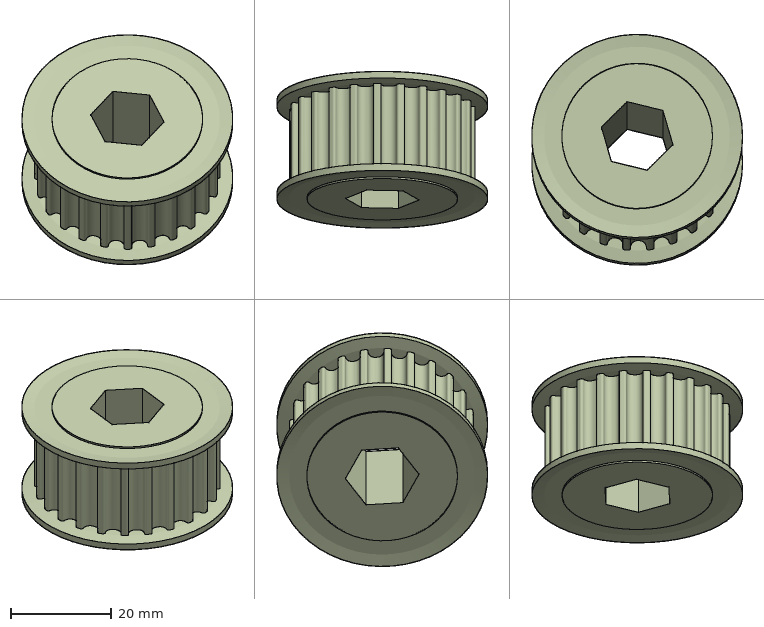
import cadquery as cq
import math

flange_diameter = 42.0
total_height = 20.5

tooth_count = 24
tip_radius = 18.5
groove_depth = 2.05
groove_floor_half_width = 0.19
groove_corner_radius = 1.4
tip_fillet = 0.45

flange_thickness = 1.4
flange_rise = 0.38

hub_diameter = 30.0
hex_across_flats = 12.73

flange_radius = flange_diameter / 2
half_height = total_height / 2
disc_outer_face = half_height - flange_rise
disc_inner_face = disc_outer_face - flange_thickness
rim_inner_face = half_height - flange_thickness
root_radius = tip_radius - groove_depth
groove_half_width = groove_floor_half_width + groove_corner_radius


def make_groove_cutter():
    """One belt groove along Z, opening towards +X: flat floor, round corners, straight flanks."""
    corner_end = root_radius + groove_corner_radius
    middle_offset = groove_corner_radius * math.sqrt(0.5)
    corner_middle_x = corner_end - middle_offset
    corner_middle_y = groove_floor_half_width + middle_offset
    return (
        cq.Workplane("XY")
        .workplane(offset=-disc_inner_face)
        .moveTo(flange_radius, -groove_half_width)
        .lineTo(corner_end, -groove_half_width)
        .threePointArc((corner_middle_x, -corner_middle_y), (root_radius, -groove_floor_half_width))
        .lineTo(root_radius, groove_floor_half_width)
        .threePointArc((corner_middle_x, corner_middle_y), (corner_end, groove_half_width))
        .lineTo(flange_radius, groove_half_width)
        .close()
        .extrude(2 * disc_inner_face)
    )


def make_toothed_barrel():
    barrel = cq.Workplane("XY").circle(tip_radius).extrude(disc_inner_face, both=True)
    groove = make_groove_cutter()
    for index in range(tooth_count):
        angle = index * 360 / tooth_count
        barrel = barrel.cut(groove.rotate((0, 0, 0), (0, 0, 1), angle))
    sharp_zone = root_radius + groove_corner_radius + tip_fillet / 2
    tip_corners = barrel.edges("|Z").filter(
        lambda edge: math.hypot(edge.Center().x, edge.Center().y) > sharp_zone
    )
    return barrel.newObject(tip_corners.vals()).fillet(tip_fillet)


def make_top_flange():
    """Flange and hub, revolved from a half section in the XZ plane."""
    hub_radius = hub_diameter / 2
    return (
        cq.Workplane("XZ")
        .moveTo(0, disc_inner_face)
        .lineTo(tip_radius, disc_inner_face)
        .lineTo(flange_radius, rim_inner_face)
        .lineTo(flange_radius, half_height)
        .lineTo(tip_radius, disc_outer_face)
        .lineTo(hub_radius, disc_outer_face)
        .lineTo(hub_radius, half_height)
        .lineTo(0, half_height)
        .close()
        .revolve(360, (0, 0, 0), (0, 1, 0))
    )


def make_hex_bore():
    """Hexagonal through bore with two corners on the X axis."""
    across_corners = hex_across_flats / math.cos(math.pi / 6)
    return cq.Workplane("XY").polygon(6, across_corners).extrude(half_height, both=True)


top_flange = make_top_flange()
bottom_flange = top_flange.mirror("XY")
result = make_toothed_barrel().union(top_flange).union(bottom_flange).cut(make_hex_bore())